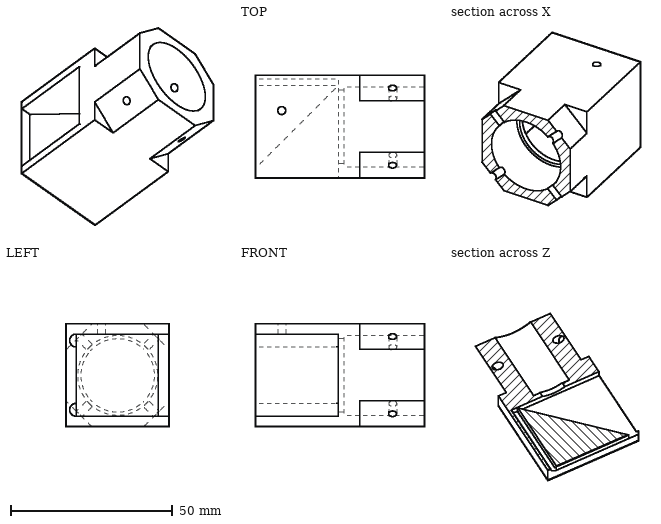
import cadquery as cq

LENGTH = 52.6
WIDTH = 32.0
COVER_THICKNESS = 0.2

POCKET_SIZE = 25.5
POCKET_CENTRE_Y = 0.1
NOTCH_RADIUS = 2.0

LIP_RADIUS = 11.4
LIP_LENGTH = 1.75
SEAT_RADIUS = 12.4

NOSE_LENGTH = 20.1
NOSE_CHAMFER = 8.0

SCREW_DIAMETER = 2.45
NOSE_SCREW_SETBACK = 10.0
CLAMP_SCREW_X = 8.2
CLAMP_SCREW_Y = 5.0

HALF_WIDTH = WIDTH / 2
HALF_POCKET = POCKET_SIZE / 2
POCKET_BACK = POCKET_CENTRE_Y + HALF_POCKET
POCKET_FRONT = POCKET_CENTRE_Y - HALF_POCKET
POCKET_END = COVER_THICKNESS + POCKET_SIZE
LIP_END = POCKET_END + LIP_LENGTH
NOSE_START = LENGTH - NOSE_LENGTH
NOSE_SCREW_X = LENGTH - NOSE_SCREW_SETBACK


def block(x_start, x_end, y_start, y_end, height):
    """Box between the given X and Y limits, centred on Z."""
    return cq.Workplane("XY").box(
        x_end - x_start, y_end - y_start, height, centered=(False, False, True)
    ).translate((x_start, y_start, 0))


def rod(radius, x_start, x_end, y=0, z=0):
    """Cylinder along X."""
    return cq.Workplane("YZ", origin=(x_start, y, z)).circle(radius).extrude(x_end - x_start)


def pocket():
    """Prism pocket, its window in the -Y wall and the two finger notches."""
    cut = block(COVER_THICKNESS, POCKET_END, -HALF_WIDTH, POCKET_BACK, POCKET_SIZE)
    for side in (-1, 1):
        notch_z = side * (HALF_POCKET - NOTCH_RADIUS)
        cut = cut.union(rod(NOTCH_RADIUS, COVER_THICKNESS, POCKET_END, POCKET_BACK, notch_z))
    return cut


def nose_envelope():
    """Octagonal column that trims the four long edges of the nose."""
    return block(NOSE_START, LENGTH, -HALF_WIDTH, HALF_WIDTH, WIDTH).edges("|X").chamfer(NOSE_CHAMFER)


def nose_screw_hole(angle):
    """Radial hole from the bore out through the chamfer at this angle about X."""
    hole = cq.Workplane("XY", origin=(NOSE_SCREW_X, 0, 0)).circle(SCREW_DIAMETER / 2).extrude(WIDTH)
    return hole.rotate((0, 0, 0), (1, 0, 0), angle)


def make_housing():
    body = block(COVER_THICKNESS, NOSE_START, -HALF_WIDTH, HALF_WIDTH, WIDTH).union(nose_envelope())
    body = body.cut(pocket())
    body = body.cut(rod(LIP_RADIUS, POCKET_END, LIP_END))
    body = body.cut(rod(SEAT_RADIUS, LIP_END, LENGTH))
    for angle in (45, 135, 225, 315):
        body = body.cut(nose_screw_hole(angle))
    clamp_hole = (
        cq.Workplane("XY", origin=(CLAMP_SCREW_X, CLAMP_SCREW_Y, HALF_POCKET))
        .circle(SCREW_DIAMETER / 2)
        .extrude(HALF_WIDTH - HALF_POCKET)
    )
    return body.cut(clamp_hole)


def make_prism():
    """Right-angle prism whose 45 degree face turns the bore axis toward -Y."""
    return (
        cq.Workplane("XY", origin=(0, 0, -HALF_POCKET))
        .moveTo(COVER_THICKNESS, POCKET_FRONT)
        .lineTo(POCKET_END, POCKET_BACK)
        .lineTo(COVER_THICKNESS, POCKET_BACK)
        .close()
        .extrude(POCKET_SIZE)
    )


def make_cover():
    """Thin sheet closing the -X end of the housing."""
    return block(0, COVER_THICKNESS, -HALF_WIDTH, HALF_WIDTH, WIDTH)


housing = make_housing()
prism = make_prism()
cover = make_cover()

result = cq.Compound.makeCompound([*housing.solids().vals(), prism.val(), cover.val()])